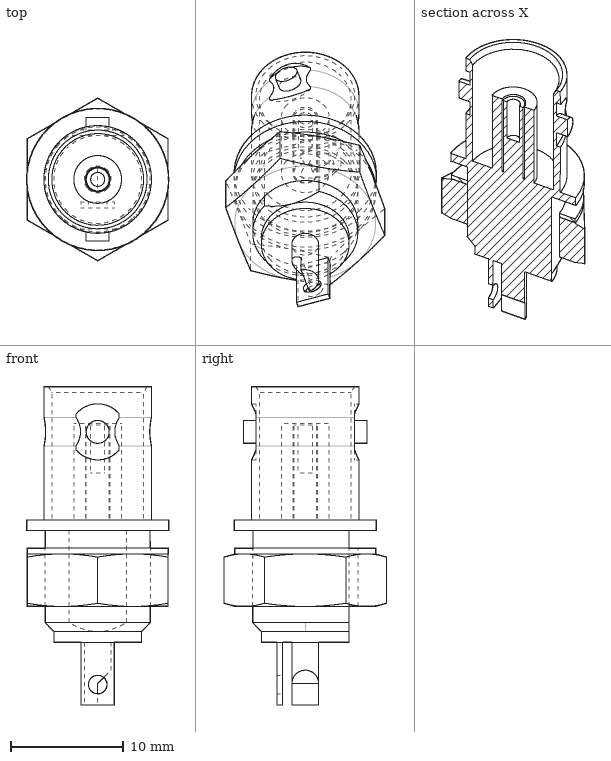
import cadquery as cq
import math

rim_z = 28.4
groove_top_z = 25.65
lug_z = 24.37
groove_bottom_z = 23.12
flange_top_z = 16.53
flange_bottom_z = 15.55
washer_top_z = 14.0
nut_top_z = 13.5
nut_bottom_z = 8.8
thread_bottom_z = 7.35
cone_bottom_z = 6.55
tail_z = 5.6

barrel_radius = 4.8
groove_radius = 4.65
flange_radius = 12.7 / 2
thread_radius = 4.7
tail_radius = 3.92

bore_radius = 4.1
rim_chamfer_width = 0.3
rim_chamfer_depth = rim_chamfer_width * math.tan(math.radians(60))
insulator_radius = 2.13
insulator_depth = 3.3
insulator_top_z = rim_z - insulator_depth
socket_floor_z = flange_top_z
insulator_hole_radius = 1.1
contact_radius = 1.02
contact_recess = 0.15
contact_hole_radius = 0.62
contact_hole_depth = 4.25

lug_radius = 1.02
lug_reach = 5.5
seat_radius = 2.5
seat_y = 4.4

pin_radius = 1.2
pin_step_z = 1.93
tab_width = 2.98
tab_thickness = 0.5
tab_y = -2.27
tab_hole_radius = 0.82
tab_hole_z = 1.85

washer_radius = 12.58 / 2
nut_corner_radius = 14.5 / 2
nut_flat_radius = nut_corner_radius * math.cos(math.radians(30))
nut_chamfer_height = 0.28


def disc(radius, bottom_z, top_z):
    """Cylinder on the connector axis between two levels."""
    return cq.Workplane("XY").workplane(offset=bottom_z).circle(radius).extrude(top_z - bottom_z)


def cross_rod(radius, z, y_start, y_end):
    """Cylinder parallel to Y, centred on X = 0 at the given height."""
    return (
        cq.Workplane("XZ", origin=(0, y_start, 0))
        .center(0, z)
        .circle(radius)
        .extrude(y_start - y_end)
    )


def make_turned_shell():
    """Barrel, flange and threaded shank turned as one profile."""
    return (
        cq.Workplane("XZ")
        .moveTo(0, tail_z)
        .lineTo(tail_radius, tail_z)
        .lineTo(tail_radius, cone_bottom_z)
        .lineTo(thread_radius, thread_bottom_z)
        .lineTo(thread_radius, flange_bottom_z)
        .lineTo(flange_radius, flange_bottom_z)
        .lineTo(flange_radius, flange_top_z)
        .lineTo(barrel_radius, flange_top_z)
        .lineTo(barrel_radius, groove_bottom_z)
        .threePointArc((groove_radius, lug_z), (barrel_radius, groove_top_z))
        .lineTo(barrel_radius, rim_z)
        .lineTo(0, rim_z)
        .close()
        .revolve(360, (0, 0, 0), (0, 1, 0))
    )


def make_socket():
    """Space inside the barrel, around the insulator and inside the contact."""
    mouth_radius = bore_radius + rim_chamfer_width
    bore = (
        cq.Workplane("XZ")
        .moveTo(0, socket_floor_z)
        .lineTo(bore_radius, socket_floor_z)
        .lineTo(bore_radius, rim_z - rim_chamfer_depth)
        .lineTo(mouth_radius, rim_z)
        .lineTo(0, rim_z)
        .close()
        .revolve(360, (0, 0, 0), (0, 1, 0))
    )
    contact_top_z = insulator_top_z - contact_recess
    insulator = disc(insulator_radius, socket_floor_z, insulator_top_z)
    insulator_hole = disc(insulator_hole_radius, socket_floor_z, insulator_top_z)
    contact = disc(contact_radius, socket_floor_z, contact_top_z)
    contact_hole = disc(contact_hole_radius, contact_top_z - contact_hole_depth, contact_top_z)
    return bore.cut(insulator).union(insulator_hole).cut(contact).union(contact_hole)


def make_shank_flat():
    """Material removed from the +Y side of the shank, level with the tail."""
    size = 2 * flange_radius
    return (
        cq.Workplane("XY")
        .box(size, size, flange_bottom_z - tail_z, centered=(True, False, False))
        .translate((0, tail_radius, tail_z))
    )


def make_pin():
    """Solder pin cut back to a half round at its tip."""
    pin = disc(pin_radius, 0, tail_z)
    relief = (
        cq.Workplane("XZ")
        .moveTo(0, 0)
        .lineTo(0, pin_step_z)
        .lineTo(pin_radius, pin_step_z + pin_radius)
        .lineTo(pin_radius, 0)
        .close()
        .extrude(pin_radius, both=True)
    )
    return pin.cut(relief)


def make_tab():
    """Flat ground tab with a wire hole."""
    tab = (
        cq.Workplane("XY")
        .box(tab_width, tab_thickness, tail_z, centered=(True, True, False))
        .translate((0, tab_y, 0))
    )
    hole = cross_rod(tab_hole_radius, tab_hole_z, tab_y - tab_thickness, tab_y + tab_thickness)
    return tab.cut(hole)


def make_housing():
    housing = make_turned_shell()
    for side in (-1, 1):
        housing = housing.cut(cross_rod(seat_radius, lug_z, side * seat_y, side * flange_radius))
        root_y = (seat_y + bore_radius) / 2
        housing = housing.union(cross_rod(lug_radius, lug_z, side * root_y, side * lug_reach))
    housing = housing.cut(make_socket()).cut(make_shank_flat())
    return housing.union(make_pin()).union(make_tab())


def make_washer():
    return disc(washer_radius, nut_top_z, washer_top_z).cut(disc(thread_radius, nut_top_z, washer_top_z))


def make_nut():
    """Hexagonal nut with corners on the Y axis, chamfered at both ends."""
    blank = (
        cq.Workplane("XY")
        .workplane(offset=nut_bottom_z)
        .polygon(6, 2 * nut_corner_radius)
        .extrude(nut_top_z - nut_bottom_z)
        .rotate((0, 0, 0), (0, 0, 1), 30)
    )
    envelope = (
        cq.Workplane("XZ")
        .moveTo(0, nut_bottom_z)
        .lineTo(nut_flat_radius, nut_bottom_z)
        .lineTo(nut_corner_radius, nut_bottom_z + nut_chamfer_height)
        .lineTo(nut_corner_radius, nut_top_z - nut_chamfer_height)
        .lineTo(nut_flat_radius, nut_top_z)
        .lineTo(0, nut_top_z)
        .close()
        .revolve(360, (0, 0, 0), (0, 1, 0))
    )
    return blank.intersect(envelope).cut(disc(thread_radius, nut_bottom_z, nut_top_z))


housing = make_housing()
washer = make_washer()
nut = make_nut()

result = cq.Compound.makeCompound([housing.val(), washer.val(), nut.val()])